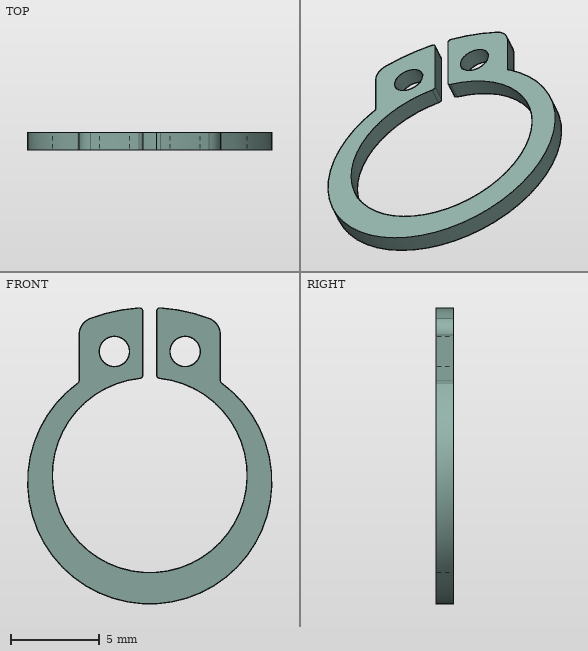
import cadquery as cq
import math


thickness = 1.0
bore_diameter = 11.0
outer_diameter = 13.82
overall_height = 16.75
rim_offset = 0.37
lug_half_width = 4.0
gap_width = 0.77
gap_corner_radius = 0.2
lug_shoulder_radius = 1.0
lug_root_radius = 0.15
plier_hole_diameter = 1.7
plier_hole_x = 2.0
plier_hole_z = 7.0

bore_radius = bore_diameter / 2
outer_radius = outer_diameter / 2
gap_half_width = gap_width / 2

highest_z = overall_height - outer_radius - rim_offset
gap_corner_centre_x = gap_half_width + gap_corner_radius
gap_corner_centre_z = highest_z - gap_corner_radius
lug_tip_radius = gap_corner_radius + math.hypot(gap_corner_centre_x, gap_corner_centre_z)


def disc(diameter, x=0.0, z=0.0):
    """Round plate of the ring's thickness, centred on Y = 0."""
    front_plane = cq.Workplane("XZ", origin=(x, -thickness / 2, z))
    return front_plane.circle(diameter / 2).extrude(-thickness)


def upright_block(width, height):
    """Block standing on Z = 0, centred on X = 0 and Y = 0."""
    return cq.Workplane("XY").box(width, thickness, height, centered=(True, True, False))


def height_on_circle(radius, x, centre_z=0.0):
    """Z of the upper half of a circle at a given X."""
    return centre_z + math.sqrt(radius**2 - x**2)


def round_corner_pair(body, x, z, radius):
    """Fillet the through-thickness edges at (x, z) and (-x, z)."""
    for side in (-1, 1):
        corner = cq.selectors.NearestToPointSelector((side * x, 0, z))
        body = body.edges("|Y").edges(corner).fillet(radius)
    return body


def make_blank():
    """Eccentric rim with one wide lug block, bored and split by the gap."""
    rim = disc(outer_diameter, z=-rim_offset)
    lug_block = upright_block(2 * lug_half_width, 2 * lug_tip_radius)
    lugs = disc(2 * lug_tip_radius).intersect(lug_block)
    gap = upright_block(gap_width, 2 * lug_tip_radius)
    return rim.union(lugs).cut(disc(bore_diameter)).cut(gap)


def round_corners(body):
    """Round the gap corners, the lug shoulders and the lug roots."""
    gap_top = height_on_circle(lug_tip_radius, gap_half_width)
    gap_bottom = height_on_circle(bore_radius, gap_half_width)
    shoulder = height_on_circle(lug_tip_radius, lug_half_width)
    root = height_on_circle(outer_radius, lug_half_width, -rim_offset)
    body = round_corner_pair(body, gap_half_width, gap_top, gap_corner_radius)
    body = round_corner_pair(body, gap_half_width, gap_bottom, gap_corner_radius)
    body = round_corner_pair(body, lug_half_width, shoulder, lug_shoulder_radius)
    return round_corner_pair(body, lug_half_width, root, lug_root_radius)


def cut_plier_holes(body):
    """One through hole in each lug."""
    for side in (-1, 1):
        body = body.cut(disc(plier_hole_diameter, side * plier_hole_x, plier_hole_z))
    return body


result = cut_plier_holes(round_corners(make_blank()))